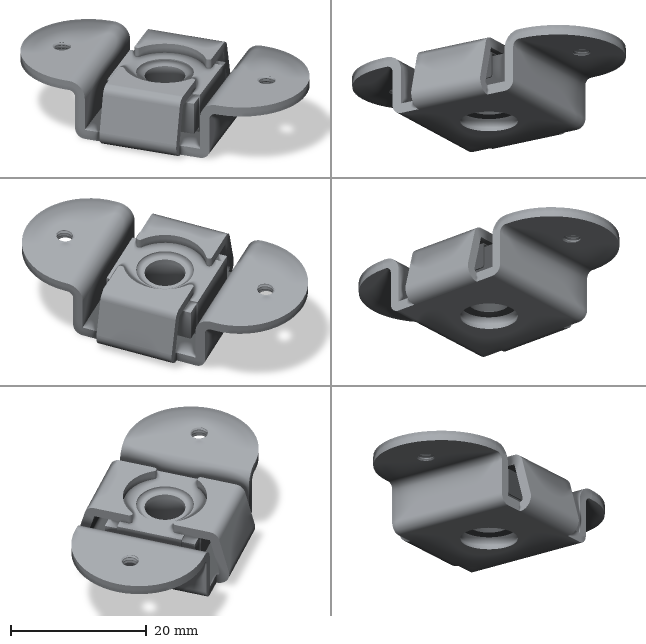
import cadquery as cq
import math

sheet = 1.5
bracket_height = 9.2
bracket_width = 20.0
ear_radius = bracket_width / 2
ear_center_x = 12.0
wall_inner_x = 9.0
ear_bend_radius = 2.5
base_bend_radius = sheet

clip_width = 12.0
clip_lean = math.radians(15)
clip_base_bend_radius = 2.0
clip_top_bend_radius = sheet
clip_opening_radius = 6.2
clip_tip_fillet = 0.45

ear_hole_x = 16.0
thread_minor_radius = 1.22
thread_major_radius = 1.5
thread_pitch = 0.5
thread_groove_width = 0.9 * thread_pitch
thread_overlap = 0.05
thread_turns_below_top = 4

nut_side = 14.0
nut_height = 5.0
nut_bore = 6.0
nut_bottom = 2.15
sleeve_sheet = 0.2
sleeve_side_clearance = 0.05
sleeve_length = 10.0
sleeve_opening = 8.5
sleeve_width = nut_side + 2 * (sleeve_side_clearance + sleeve_sheet)
sleeve_inner_width = sleeve_width - 2 * sleeve_sheet
sleeve_top = bracket_height - sheet
sleeve_bottom = 1.7
sleeve_height = sleeve_top - sleeve_bottom
tab_width = 10.0
tab_bottom = 3.8
tab_corner = 0.4


def arc_point(center, radius, angle):
    return (center[0] + radius * math.cos(angle), center[1] + radius * math.sin(angle))


def make_strip():
    """Base, side walls and ears: a bent sheet profile trimmed to a plan with round ends."""
    wall_outer_x = wall_inner_x + sheet
    ear_end = ear_center_x + ear_radius
    ear_underside = bracket_height - sheet
    bend_center = (wall_inner_x + ear_bend_radius, bracket_height - ear_bend_radius)
    inner_bend_radius = ear_bend_radius - sheet
    base_center = (wall_outer_x - base_bend_radius, base_bend_radius)
    half_strip = (
        cq.Workplane("XZ")
        .moveTo(0, 0)
        .lineTo(base_center[0], 0)
        .threePointArc(arc_point(base_center, base_bend_radius, -math.pi / 4), (wall_outer_x, base_center[1]))
        .lineTo(wall_outer_x, bend_center[1])
        .threePointArc(
            arc_point(bend_center, inner_bend_radius, 3 * math.pi / 4), (bend_center[0], ear_underside)
        )
        .lineTo(ear_end, ear_underside)
        .lineTo(ear_end, bracket_height)
        .lineTo(bend_center[0], bracket_height)
        .threePointArc(
            arc_point(bend_center, ear_bend_radius, 3 * math.pi / 4), (wall_inner_x, bend_center[1])
        )
        .lineTo(wall_inner_x, sheet)
        .lineTo(0, sheet)
        .close()
        .extrude(bracket_width / 2, both=True)
    )
    rounded = cq.Workplane("XY").slot2D(2 * ear_end, bracket_width).extrude(bracket_height)
    return half_strip.union(half_strip.mirror("YZ")).intersect(rounded)


def make_clip():
    """Clip on the +Y side: bend, leaning wall, top bend and top plate with its rounded opening."""
    base_center = (bracket_width / 2, clip_base_bend_radius)
    base_inner_radius = clip_base_bend_radius - sheet
    outer_base = arc_point(base_center, clip_base_bend_radius, clip_lean)
    inner_base = arc_point(base_center, base_inner_radius, clip_lean)
    base_middle = (clip_lean - math.pi / 2) / 2
    top_center_z = bracket_height - clip_top_bend_radius
    outer_top_z = top_center_z + clip_top_bend_radius * math.sin(clip_lean)
    outer_top_y = outer_base[0] - (outer_top_z - outer_base[1]) * math.tan(clip_lean)
    top_center = (outer_top_y - clip_top_bend_radius * math.cos(clip_lean), top_center_z)
    top_middle = (clip_lean + math.pi / 2) / 2
    profile = (
        cq.Workplane("YZ")
        .moveTo(0, bracket_height)
        .lineTo(top_center[0], bracket_height)
        .threePointArc(arc_point(top_center, clip_top_bend_radius, top_middle), (outer_top_y, outer_top_z))
        .lineTo(*outer_base)
        .threePointArc(arc_point(base_center, clip_base_bend_radius, base_middle), (base_center[0], 0))
        .lineTo(base_center[0] - sheet, 0)
        .lineTo(base_center[0] - sheet, sheet)
        .lineTo(base_center[0], sheet)
        .threePointArc(arc_point(base_center, base_inner_radius, base_middle), inner_base)
        .lineTo(*top_center)
        .lineTo(0, top_center_z)
        .close()
        .extrude(clip_width / 2, both=True)
    )
    opening = (
        cq.Workplane("XY").workplane(offset=top_center_z).circle(clip_opening_radius).extrude(sheet)
    )
    tip_y = math.sqrt(clip_opening_radius**2 - (clip_width / 2) ** 2)
    around_tips = cq.selectors.BoxSelector(
        (-clip_width, tip_y - sheet / 2, top_center_z), (clip_width, tip_y + sheet / 2, bracket_height)
    )
    return profile.cut(opening).edges("|Z").edges(around_tips).fillet(clip_tip_fillet)


def make_threaded_hole():
    """Cutter for a threaded ear hole: a plain bore and a helical V groove running out of both faces."""
    bottom = bracket_height - (thread_turns_below_top + 0.5) * thread_pitch
    length = (thread_turns_below_top + 2) * thread_pitch
    bore = cq.Workplane("XY").circle(thread_minor_radius).extrude(length)
    helix = cq.Wire.makeHelix(thread_pitch, length, thread_minor_radius)
    base_radius = thread_minor_radius - thread_overlap
    groove = (
        cq.Workplane("XZ")
        .polyline(
            [
                (base_radius, -thread_groove_width / 2),
                (thread_major_radius, 0),
                (base_radius, thread_groove_width / 2),
            ]
        )
        .close()
        .sweep(cq.Workplane(helix), isFrenet=True)
    )
    return bore.union(groove).translate((0, 0, bottom))


def make_bracket():
    clip = make_clip()
    bracket = make_strip().union(clip).union(clip.mirror("XZ"))
    center_hole = cq.Workplane("XY").circle(sleeve_opening / 2).extrude(sheet)
    bracket = bracket.cut(center_hole)
    threaded_hole = make_threaded_hole()
    for x in (-ear_hole_x, ear_hole_x):
        bracket = bracket.cut(threaded_hole.translate((x, 0, 0)))
    return bracket


def make_nut():
    blank = cq.Workplane("XY").rect(nut_side, nut_side).circle(nut_bore / 2).extrude(nut_height)
    return blank.translate((0, 0, nut_bottom))


def make_sleeve():
    """Thin band around the nut on a low foot, with a tab folded down over each Y face of the nut."""
    centered = (True, True, False)
    band = cq.Workplane("XY").box(sleeve_width, sleeve_length, sleeve_height, centered=centered)
    hollow_height = sleeve_height - 2 * sleeve_sheet
    hollow = cq.Workplane("XY").box(sleeve_inner_width, sleeve_length, hollow_height, centered=centered)
    band = band.cut(hollow.translate((0, 0, sleeve_sheet))).translate((0, 0, sleeve_bottom))

    foot_height = sleeve_bottom - sheet
    foot = cq.Workplane("XY").box(sleeve_inner_width, sleeve_length, foot_height, centered=centered)
    foot = foot.translate((0, 0, sheet))

    tab_height = sleeve_top - tab_bottom
    tabs = cq.Workplane("XY").box(tab_width, sleeve_width, tab_height, centered=centered)
    tabs = tabs.edges("|Y and <Z").fillet(tab_corner)
    between = cq.Workplane("XY").box(
        tab_width, sleeve_inner_width, tab_height - sleeve_sheet, centered=centered
    )
    tabs = tabs.cut(between).translate((0, 0, tab_bottom))

    openings = cq.Workplane("XY").circle(sleeve_opening / 2).extrude(bracket_height)
    return band.union(foot).union(tabs).cut(openings)


bracket = make_bracket()
nut = make_nut()
sleeve = make_sleeve()

result = cq.Compound.makeCompound([bracket.val(), nut.val(), sleeve.val()])